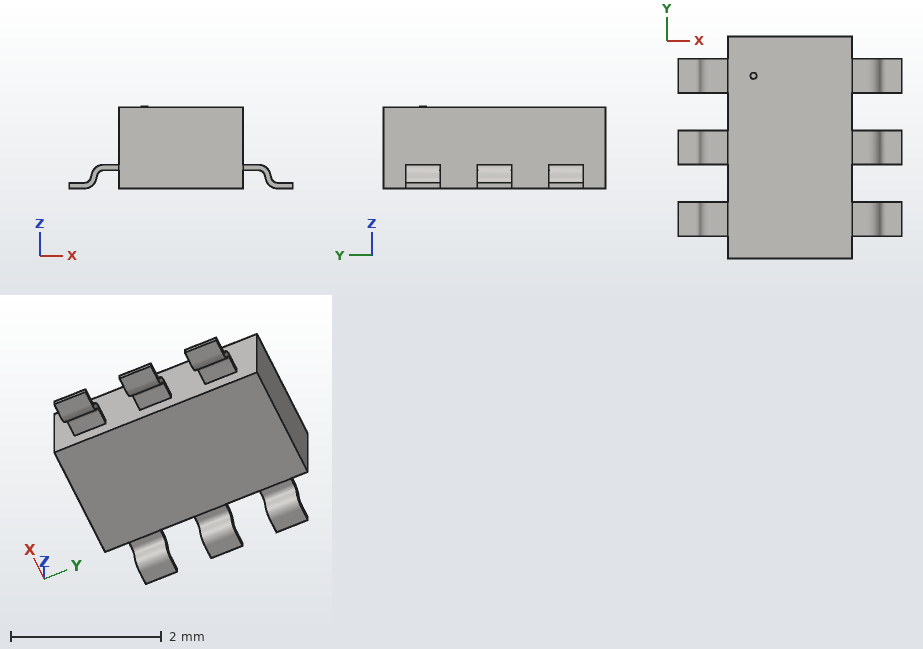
import cadquery as cq
import math

SPAN_X = 2.97
BODY_X = 1.645
BODY_Y = 2.95
TOTAL_Z = 1.09

MARK_DIAMETER = 0.083
MARK_THICKNESS = 0.01
MARK_INSET_X = 0.34

BODY_Z = TOTAL_Z - MARK_THICKNESS

LEADS_PER_SIDE = 3
LEAD_PITCH = 0.95
LEAD_WIDTH = 0.457
LEAD_THICKNESS = 0.077
LEAD_TOP_Z = 0.318
FOOT_LENGTH = 0.205
BEND_ANGLE = math.radians(75)
INNER_RADIUS = 0.083
OUTER_RADIUS = INNER_RADIUS + LEAD_THICKNESS

FIRST_ROW_Y = LEAD_PITCH * (LEADS_PER_SIDE - 1) / 2


def make_housing():
    return cq.Workplane("XY").box(BODY_X, BODY_Y, BODY_Z, centered=(True, True, False))


def make_pin_one_mark():
    return (
        cq.Workplane("XY", origin=(MARK_INSET_X - BODY_X / 2, FIRST_ROW_Y, BODY_Z))
        .circle(MARK_DIAMETER / 2)
        .extrude(MARK_THICKNESS)
    )


def arc_point(center, radius, angle):
    """Point on an arc, with the angle measured from straight down towards +X."""
    return (center[0] + radius * math.sin(angle), center[1] - radius * math.cos(angle))


def make_left_lead(row_y):
    """S-shaped strip from the foot tip to the left wall of the housing."""
    tip_x = -SPAN_X / 2
    wall_x = -BODY_X / 2
    foot_end_x = tip_x + FOOT_LENGTH

    radius_sum = INNER_RADIUS + OUTER_RADIUS
    rise = LEAD_TOP_Z - LEAD_THICKNESS
    slope_length = (rise - radius_sum * (1 - math.cos(BEND_ANGLE))) / math.sin(BEND_ANGLE)
    run = radius_sum * math.sin(BEND_ANGLE) + slope_length * math.cos(BEND_ANGLE)
    shelf_start_x = foot_end_x + run

    lower_center = (foot_end_x, OUTER_RADIUS)
    upper_center = (shelf_start_x, LEAD_TOP_Z - OUTER_RADIUS)
    half_bend = BEND_ANGLE / 2

    def upper_point(radius, angle):
        return arc_point(upper_center, -radius, angle)

    profile = (
        cq.Workplane("XZ", origin=(0, row_y, 0))
        .moveTo(tip_x, 0)
        .lineTo(foot_end_x, 0)
        .threePointArc(
            arc_point(lower_center, OUTER_RADIUS, half_bend),
            arc_point(lower_center, OUTER_RADIUS, BEND_ANGLE),
        )
        .lineTo(*upper_point(INNER_RADIUS, BEND_ANGLE))
        .threePointArc(upper_point(INNER_RADIUS, half_bend), upper_point(INNER_RADIUS, 0))
        .lineTo(wall_x, LEAD_TOP_Z - LEAD_THICKNESS)
        .lineTo(wall_x, LEAD_TOP_Z)
        .lineTo(shelf_start_x, LEAD_TOP_Z)
        .threePointArc(upper_point(OUTER_RADIUS, half_bend), upper_point(OUTER_RADIUS, BEND_ANGLE))
        .lineTo(*arc_point(lower_center, INNER_RADIUS, BEND_ANGLE))
        .threePointArc(
            arc_point(lower_center, INNER_RADIUS, half_bend),
            arc_point(lower_center, INNER_RADIUS, 0),
        )
        .lineTo(tip_x, LEAD_THICKNESS)
        .close()
    )
    return profile.extrude(LEAD_WIDTH / 2, both=True)


housing = make_housing()
pin_one_mark = make_pin_one_mark()

leads = []
for row in range(LEADS_PER_SIDE):
    left_lead = make_left_lead(FIRST_ROW_Y - row * LEAD_PITCH)
    right_lead = left_lead.mirror("YZ")
    leads.append(left_lead.val())
    leads.append(right_lead.val())

result = cq.Compound.makeCompound([housing.val(), pin_one_mark.val(), *leads])